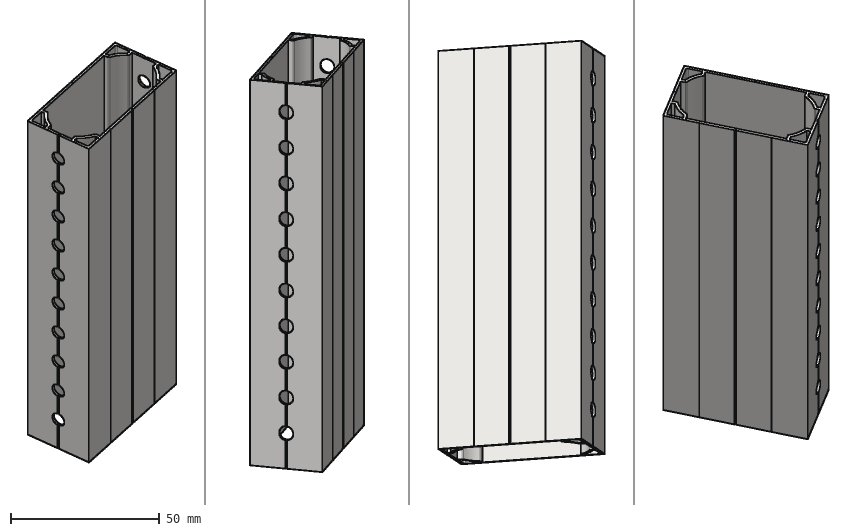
import cadquery as cq
import math

module = 25.4
width = module
depth = 2 * module
height = 137.4

wall = 1.0
corner_radius = 0.7

web_thickness = 1.1
web_radius = 11.5
stem_distance = 5.5

groove_width = 0.7
groove_depth = 0.35
fine_groove_width = 0.1
fine_groove_depth = 0.07

hole_diameter = 5.0
hole_count = 11
hole_pitch = module / 2
lowest_hole_height = 12.6


def tube():
    outer = cq.Workplane("XY").rect(width, depth).extrude(height)
    bore = (
        cq.Workplane("XY")
        .rect(width - 2 * wall, depth - 2 * wall)
        .extrude(height)
        .edges("|Z")
        .fillet(corner_radius)
    )
    return outer.cut(bore)


def corner_web():
    """Web across the +X +Y corner: an arc with rounded ends and a straight stem to each wall."""
    module_center_y = module / 2
    start = math.asin(stem_distance / web_radius)
    end = math.pi / 2 - start
    middle = math.pi / 4

    def arc_point(radius, angle):
        return (radius * math.cos(angle), module_center_y + radius * math.sin(angle))

    outer = web_radius + web_thickness / 2
    inner = web_radius - web_thickness / 2
    arc = (
        cq.Workplane("XY")
        .moveTo(*arc_point(outer, start))
        .threePointArc(arc_point(outer, middle), arc_point(outer, end))
        .lineTo(*arc_point(inner, end))
        .threePointArc(arc_point(inner, middle), arc_point(inner, start))
        .close()
        .extrude(height)
    )

    side_joint = arc_point(web_radius, start)
    end_joint = arc_point(web_radius, end)
    rounded_ends = (
        cq.Workplane("XY")
        .pushPoints([side_joint, end_joint])
        .circle(web_thickness / 2)
        .extrude(height)
    )

    side_length = width / 2 - wall / 2 - side_joint[0]
    side_stem = (
        cq.Workplane("XY")
        .center(side_joint[0] + side_length / 2, side_joint[1])
        .rect(side_length, web_thickness)
        .extrude(height)
    )
    end_length = depth / 2 - wall / 2 - end_joint[1]
    end_stem = (
        cq.Workplane("XY")
        .center(end_joint[0], end_joint[1] + end_length / 2)
        .rect(web_thickness, end_length)
        .extrude(height)
    )
    return arc.union(rounded_ends).union(side_stem).union(end_stem)


def v_groove(face_x, y, mouth, cut_depth):
    """V-groove along Z in a face that looks toward +X at face_x."""
    return (
        cq.Workplane("XY")
        .polyline([(face_x, y - mouth / 2), (face_x - cut_depth, y), (face_x, y + mouth / 2)])
        .close()
        .extrude(height)
    )


def turned(shape, angle):
    return shape.rotate((0, 0, 0), (0, 0, 1), angle)


def hole_row():
    centers = [(0, lowest_hole_height + i * hole_pitch) for i in range(hole_count)]
    return (
        cq.Workplane("XZ", origin=(0, depth / 2, 0))
        .pushPoints(centers)
        .circle(hole_diameter / 2)
        .extrude(depth)
    )


result = tube()

web = corner_web()
for corner in (web, web.mirror("YZ")):
    result = result.union(corner).union(corner.mirror("XZ"))

long_wall_grooves = v_groove(width / 2, 0, groove_width, groove_depth)
for groove_y in (-module / 2, module / 2):
    fine_groove = v_groove(width / 2, groove_y, fine_groove_width, fine_groove_depth)
    long_wall_grooves = long_wall_grooves.union(fine_groove)
short_wall_groove = turned(v_groove(depth / 2, 0, groove_width, groove_depth), 90)
for turn in (0, 180):
    result = result.cut(turned(long_wall_grooves, turn))
    result = result.cut(turned(short_wall_groove, turn))

result = result.cut(hole_row())